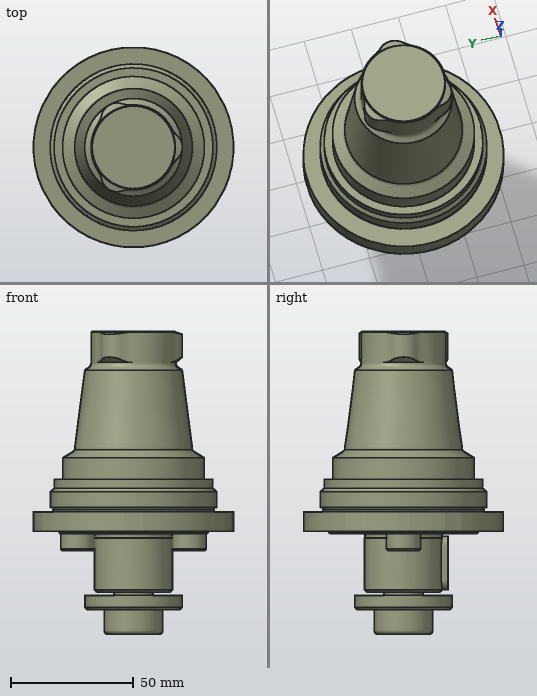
import cadquery as cq
import math

TOTAL_HEIGHT = 124.0

FOOT_RADIUS = 24.0 / 2
FOOT_ROUND = 1.7
DISK_RADIUS = 39.9 / 2
DISK_BOTTOM = 10.0
DISK_TOP = 16.0
SMALL_CHAMFER = 1.1
NECK_RADIUS = 16.0 / 2

SHAFT_RADIUS = 32.0 / 2
SHAFT_BOTTOM = 17.2
RELIEF_RADIUS = 31.6 / 2
RELIEF_BOTTOM = 39.5
RELIEF_FILLET = 0.7
RELIEF_STEP = SHAFT_RADIUS - RELIEF_RADIUS

PAD_RADIUS = 61.0 / 2
PAD_BOTTOM = 41.2
PAD_CHAMFER = 0.5
FLANGE_RADIUS = 82.0 / 2
FLANGE_BOTTOM = 42.2
FLANGE_TOP = 50.1
WIDE_FLAT_HALF = 3.8
NARROW_FLAT_HALF = 2.5
WIDE_FLAT_ANGLES = [30 + 60 * i for i in range(6)]
NARROW_FLAT_ANGLES = [0, 180]

SEAT_RADIUS = 66.1 / 2
SEAT_TOP = 51.1
GROOVE_RADIUS = 65.5 / 2
BAND_RADIUS = 68.2 / 2
BAND_BOTTOM = 52.1
BAND_TOP = 58.3
BAND_CONE_TOP = 59.8
BAND_CHAMFER = 0.4
COLLAR_RADIUS = 65.0 / 2
COLLAR_TOP = 63.5
STEP_RADIUS = 58.0 / 2
STEP_TOP = 72.2

TAPER_FLARE_RADIUS = 24.8
TAPER_FLARE_BOTTOM = 74.8
TAPER_FOOT = 75.5
TAPER_BOTTOM = 76.5
TAPER_BOTTOM_RADIUS = 24.0
TAPER_TOP = 108.1
TAPER_TOP_RADIUS = DISK_RADIUS
SHOULDER_TOP = 109.1
SHOULDER_RADIUS = 18.5

HEAD_RADIUS = 17.4
HEAD_BOTTOM = 111.2
HEAD_TOP_RADIUS = 16.9
HEAD_BEVEL_WIDTH = 0.2
HEAD_BEVEL_HEIGHT = 0.4
LOBE_COUNT = 3
LOBE_TIP_RADIUS = 20.0
LOBE_NOSE_RADIUS = 6.5
LOBE_BLEND_RADIUS = 12.4
LOBE_TIP_TOP = 122.8
LOBE_TIP_BOTTOM = 113.5

PIN_RADIUS = 14.0 / 2
PIN_OFFSET = 22.8
PIN_BOTTOM = 34.2
PIN_CHAMFER = 0.7

KEY_WIDTH = 7.9
KEY_BOTTOM = 18.2
KEY_TOP = 40.2
KEY_OUTER = 18.2


def turned_body():
    """Everything round about Z, from the foot up to the underside of the head."""
    return (
        cq.Workplane("XZ")
        .moveTo(0, 0)
        .lineTo(FOOT_RADIUS - FOOT_ROUND, 0)
        .radiusArc((FOOT_RADIUS, FOOT_ROUND), -FOOT_ROUND)
        .lineTo(FOOT_RADIUS, DISK_BOTTOM)
        .lineTo(DISK_RADIUS - SMALL_CHAMFER, DISK_BOTTOM)
        .lineTo(DISK_RADIUS, DISK_BOTTOM + SMALL_CHAMFER)
        .lineTo(DISK_RADIUS, DISK_TOP)
        .lineTo(NECK_RADIUS, DISK_TOP)
        .lineTo(NECK_RADIUS, SHAFT_BOTTOM)
        .lineTo(SHAFT_RADIUS - SMALL_CHAMFER, SHAFT_BOTTOM)
        .lineTo(SHAFT_RADIUS, SHAFT_BOTTOM + SMALL_CHAMFER)
        .lineTo(SHAFT_RADIUS, RELIEF_BOTTOM - RELIEF_STEP)
        .lineTo(RELIEF_RADIUS, RELIEF_BOTTOM)
        .lineTo(RELIEF_RADIUS, PAD_BOTTOM - RELIEF_FILLET)
        .radiusArc((RELIEF_RADIUS + RELIEF_FILLET, PAD_BOTTOM), RELIEF_FILLET)
        .lineTo(PAD_RADIUS - PAD_CHAMFER, PAD_BOTTOM)
        .lineTo(PAD_RADIUS, PAD_BOTTOM + PAD_CHAMFER)
        .lineTo(PAD_RADIUS, FLANGE_BOTTOM)
        .lineTo(FLANGE_RADIUS, FLANGE_BOTTOM)
        .lineTo(FLANGE_RADIUS, FLANGE_TOP)
        .lineTo(SEAT_RADIUS, FLANGE_TOP)
        .lineTo(SEAT_RADIUS, SEAT_TOP)
        .lineTo(GROOVE_RADIUS, SEAT_TOP)
        .lineTo(GROOVE_RADIUS, BAND_BOTTOM - BAND_CHAMFER)
        .lineTo(BAND_RADIUS - BAND_CHAMFER, BAND_BOTTOM - BAND_CHAMFER)
        .lineTo(BAND_RADIUS, BAND_BOTTOM)
        .lineTo(BAND_RADIUS, BAND_TOP)
        .lineTo(COLLAR_RADIUS, BAND_CONE_TOP)
        .lineTo(COLLAR_RADIUS, COLLAR_TOP)
        .lineTo(STEP_RADIUS, COLLAR_TOP)
        .lineTo(STEP_RADIUS, STEP_TOP)
        .lineTo(TAPER_FLARE_RADIUS, TAPER_FLARE_BOTTOM)
        .lineTo(TAPER_BOTTOM_RADIUS, TAPER_FOOT)
        .lineTo(TAPER_BOTTOM_RADIUS, TAPER_BOTTOM)
        .lineTo(TAPER_TOP_RADIUS, TAPER_TOP)
        .lineTo(SHOULDER_RADIUS, SHOULDER_TOP)
        .radiusArc((HEAD_RADIUS, HEAD_BOTTOM), HEAD_BOTTOM - SHOULDER_TOP)
        .lineTo(0, HEAD_BOTTOM)
        .close()
        .revolve(360, (0, 0, 0), (0, 1, 0))
    )


def flange_flat(angle, half_width):
    """Sliver that trims a flat of the given half width off the flange rim."""
    flat_distance = math.sqrt(FLANGE_RADIUS**2 - half_width**2)
    return (
        cq.Workplane("XY", origin=(0, 0, FLANGE_BOTTOM))
        .center(flat_distance + half_width, 0)
        .rect(2 * half_width, 4 * half_width)
        .extrude(FLANGE_TOP - FLANGE_BOTTOM)
        .rotate((0, 0, 0), (0, 0, 1), angle)
    )


def polar(radius, angle):
    return (radius * math.cos(angle), radius * math.sin(angle))


def lobed_prism():
    """Head outline: root circle, concave blends and rounded lobe noses, all tangent."""
    nose_center = LOBE_TIP_RADIUS - LOBE_NOSE_RADIUS
    blend_center = HEAD_RADIUS + LOBE_BLEND_RADIUS
    center_gap = LOBE_NOSE_RADIUS + LOBE_BLEND_RADIUS
    root_angle = math.acos(
        (nose_center**2 + blend_center**2 - center_gap**2) / (2 * nose_center * blend_center)
    )
    blend_x, blend_y = polar(blend_center, root_angle)
    nose_share = LOBE_NOSE_RADIUS / center_gap
    tangent_x = nose_center + nose_share * (blend_x - nose_center)
    tangent_y = nose_share * blend_y
    nose_angle = math.atan2(tangent_y, tangent_x)
    nose_distance = math.hypot(tangent_x, tangent_y)

    pitch = 2 * math.pi / LOBE_COUNT
    outline = cq.Workplane("XY", origin=(0, 0, HEAD_BOTTOM)).moveTo(*polar(HEAD_RADIUS, -root_angle))
    for i in range(LOBE_COUNT):
        axis = i * pitch
        outline = (
            outline.radiusArc(polar(nose_distance, axis - nose_angle), LOBE_BLEND_RADIUS)
            .threePointArc(polar(LOBE_TIP_RADIUS, axis), polar(nose_distance, axis + nose_angle))
            .radiusArc(polar(HEAD_RADIUS, axis + root_angle), LOBE_BLEND_RADIUS)
            .threePointArc(
                polar(HEAD_RADIUS, axis + pitch / 2),
                polar(HEAD_RADIUS, axis + pitch - root_angle),
            )
        )
    return outline.close().extrude(TOTAL_HEIGHT - HEAD_BOTTOM)


def bayonet_head():
    """Lobed prism trimmed above and below by cones about Z."""
    cone_envelope = (
        cq.Workplane("XZ")
        .moveTo(0, HEAD_BOTTOM)
        .lineTo(HEAD_RADIUS, HEAD_BOTTOM)
        .lineTo(LOBE_TIP_RADIUS, LOBE_TIP_BOTTOM)
        .lineTo(LOBE_TIP_RADIUS, LOBE_TIP_TOP)
        .lineTo(HEAD_TOP_RADIUS + HEAD_BEVEL_WIDTH, TOTAL_HEIGHT - HEAD_BEVEL_HEIGHT)
        .lineTo(HEAD_TOP_RADIUS, TOTAL_HEIGHT)
        .lineTo(0, TOTAL_HEIGHT)
        .close()
        .revolve(360, (0, 0, 0), (0, 1, 0))
    )
    return lobed_prism().intersect(cone_envelope)


def drive_pin(x):
    return (
        cq.Workplane("XY", origin=(x, 0, PIN_BOTTOM))
        .circle(PIN_RADIUS)
        .extrude(FLANGE_BOTTOM - PIN_BOTTOM)
        .faces("<Z")
        .chamfer(PIN_CHAMFER)
    )


def shaft_key():
    return (
        cq.Workplane("XZ", origin=(0, 0, (KEY_BOTTOM + KEY_TOP) / 2))
        .slot2D(KEY_TOP - KEY_BOTTOM, KEY_WIDTH, 90)
        .extrude(-KEY_OUTER)
    )


result = turned_body().union(bayonet_head()).union(shaft_key())
for side in (-1, 1):
    result = result.union(drive_pin(side * PIN_OFFSET))
for flat_angle in WIDE_FLAT_ANGLES:
    result = result.cut(flange_flat(flat_angle, WIDE_FLAT_HALF))
for flat_angle in NARROW_FLAT_ANGLES:
    result = result.cut(flange_flat(flat_angle, NARROW_FLAT_HALF))